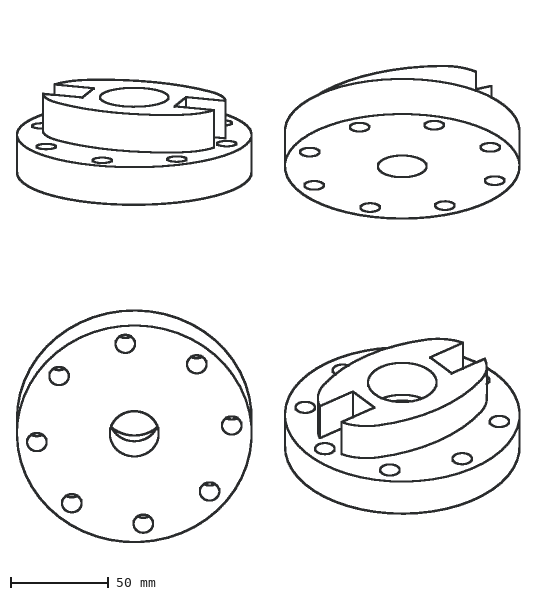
import cadquery as cq
import math

flange_diameter = 120.0
flange_thickness = 20.0
bolt_count = 8
bolt_circle_diameter = 100.0
bolt_hole_diameter = 10.0

total_height = 40.0
boss_height = total_height - flange_thickness
boss_half_width = 30.0
side_radius = 80.0
end_radius = 25.0

slot_width = 18.0
slot_floor_distance = 25.0

bore_diameter = 25.0
counterbore_diameter = 35.0
counterbore_depth = boss_height


def make_flange():
    return (
        cq.Workplane("XY")
        .circle(flange_diameter / 2)
        .extrude(flange_thickness)
        .faces(">Z")
        .workplane()
        .polarArray(bolt_circle_diameter / 2, 0, 360, bolt_count)
        .hole(bolt_hole_diameter)
    )


def make_boss():
    side_center_offset = side_radius - boss_half_width
    center_distance = side_radius - end_radius
    end_center_x = math.sqrt(center_distance**2 - side_center_offset**2)
    junction_x = side_radius * end_center_x / center_distance
    junction_y = end_radius * side_center_offset / center_distance
    tip_x = end_center_x + end_radius
    return (
        cq.Workplane("XY", origin=(0, 0, flange_thickness))
        .moveTo(-junction_x, junction_y)
        .threePointArc((0, boss_half_width), (junction_x, junction_y))
        .threePointArc((tip_x, 0), (junction_x, -junction_y))
        .threePointArc((0, -boss_half_width), (-junction_x, -junction_y))
        .threePointArc((-tip_x, 0), (-junction_x, junction_y))
        .close()
        .extrude(boss_height)
    )


def make_slot(side):
    slot_length = flange_diameter / 2 - slot_floor_distance
    slot_center_x = side * (slot_floor_distance + slot_length / 2)
    return (
        cq.Workplane("XY", origin=(slot_center_x, 0, flange_thickness))
        .rect(slot_length, slot_width)
        .extrude(boss_height)
    )


boss = make_boss()
for side in (-1, 1):
    boss = boss.cut(make_slot(side))

result = (
    make_flange()
    .union(boss)
    .faces(">Z")
    .workplane(origin=(0, 0, total_height))
    .cboreHole(bore_diameter, counterbore_diameter, counterbore_depth)
)